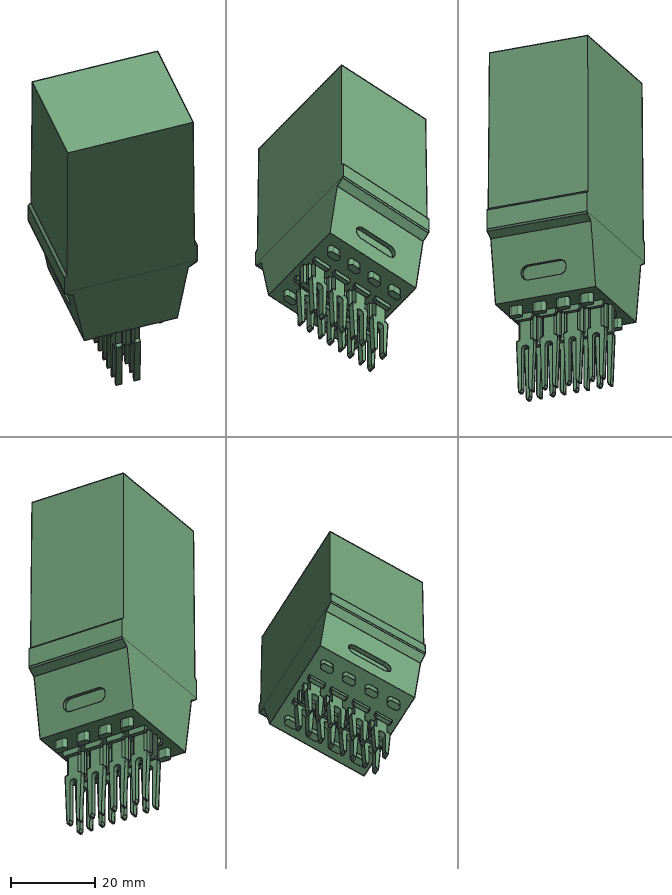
import cadquery as cq

case_width = 26.1
total_height = 83.2
flange_half_depth = 16.765
base_z = 19.6
base_half_depth = 11.7
neck_z = 35.5
neck_half_depth = 14.5
flange_low_z = 37.2
flange_lip_z = 36.7
flange_lip_inset = 0.25
flange_high_z = 42.1
cover_z = 42.8
cover_half_depth = 16.05
top_half_depth = 15.8
top_width = 25.6

recess_length = 11.7
recess_height = 3.7
recess_z = 25.9
recess_depth = 1.1

pin_count = 4
pin_pitch = 6.15
pin_row_offset = 2.29
pin_thickness = 1.46
pin_width = 4.5
tip_width = 3.5
shank_width = 2.75
shoulder_z = 13.5
shoulder_drop = 0.4
fork_gap = 1.8
fork_spring_z = 10.9
taper_start_z = 12.2
tip_bevel_height = 0.75
tip_bevel_width = 0.3

backing_inner_y = 0.7
backing_low_z = 12.5
backing_slope_rise = 0.7
backing_bevel_width = 0.4
backing_bevel_height = 1.0

blade_thickness = 1.25
blade_left = 3.1
blade_right = 1.7

peg_length = 3.3
peg_width = 1.7
peg_offset = 8.3
peg_low_z = 17.1
collar_width = pin_width
collar_outer_y = 4.035
collar_low_z = 18.1
collar_bevel_width = 0.3
collar_bevel_height = 0.4

EMBED = 0.4


def box(x_min, x_max, y_min, y_max, z_min, z_max):
    """Block given by its limits along the three axes."""
    size = (x_max - x_min, y_max - y_min, z_max - z_min)
    return cq.Workplane("XY").box(*size, centered=False).translate((x_min, y_min, z_min))


def make_case():
    plus_y_side = [
        (base_half_depth, base_z),
        (neck_half_depth, neck_z),
        (flange_half_depth - flange_lip_inset, flange_lip_z),
        (flange_half_depth, flange_low_z),
        (flange_half_depth, flange_high_z),
        (cover_half_depth, cover_z),
        (top_half_depth, total_height),
    ]
    minus_y_side = [(-y, z) for y, z in reversed(plus_y_side)]
    body = cq.Workplane("YZ").polyline(plus_y_side + minus_y_side).close().extrude(case_width / 2, both=True)
    draft_outline = [
        (-case_width / 2, base_z),
        (case_width / 2, base_z),
        (case_width / 2, flange_low_z),
        (top_width / 2, total_height),
        (-top_width / 2, total_height),
        (-case_width / 2, flange_low_z),
    ]
    draft = cq.Workplane("XZ").polyline(draft_outline).close().extrude(flange_half_depth, both=True)
    return body.intersect(draft)


def make_recess():
    run = neck_half_depth - base_half_depth
    rise = neck_z - base_z
    face_y = base_half_depth + run / rise * (recess_z - base_z)
    sloping_face = cq.Plane(origin=(0, -face_y, recess_z), xDir=(1, 0, 0), normal=(0, -rise, -run))
    return (
        cq.Workplane(sloping_face)
        .slot2D(recess_length, recess_height)
        .extrude(recess_depth, both=True)
    )


def make_pin():
    half_gap = fork_gap / 2
    tip_inner = half_gap + tip_bevel_width
    return (
        cq.Workplane("XZ", origin=(0, -pin_row_offset, 0))
        .moveTo(-shank_width / 2, base_z + EMBED)
        .lineTo(-shank_width / 2, shoulder_z)
        .lineTo(-pin_width / 2, shoulder_z - shoulder_drop)
        .lineTo(-pin_width / 2, taper_start_z)
        .lineTo(-tip_width / 2, 0)
        .lineTo(-tip_inner, 0)
        .lineTo(-half_gap, tip_bevel_height)
        .lineTo(-half_gap, fork_spring_z)
        .threePointArc((0, fork_spring_z + half_gap), (half_gap, fork_spring_z))
        .lineTo(half_gap, tip_bevel_height)
        .lineTo(tip_inner, 0)
        .lineTo(tip_width / 2, 0)
        .lineTo(pin_width / 2, taper_start_z)
        .lineTo(pin_width / 2, shoulder_z - shoulder_drop)
        .lineTo(shank_width / 2, shoulder_z)
        .lineTo(shank_width / 2, base_z + EMBED)
        .close()
        .extrude(pin_thickness / 2, both=True)
    )


def beveled_tab(width, bevel_width, bevel_height, low_z, y_min, y_max):
    """Plate hanging from the base with both lower corners beveled."""
    half_width = width / 2
    return (
        cq.Workplane("XZ", origin=(0, y_max, 0))
        .moveTo(-half_width, base_z + EMBED)
        .lineTo(-half_width, low_z + bevel_height)
        .lineTo(-half_width + bevel_width, low_z)
        .lineTo(half_width - bevel_width, low_z)
        .lineTo(half_width, low_z + bevel_height)
        .lineTo(half_width, base_z + EMBED)
        .close()
        .extrude(y_max - y_min)
    )


def make_backing():
    outer_y = pin_row_offset - pin_thickness / 2
    tab = beveled_tab(pin_width, backing_bevel_width, backing_bevel_height, backing_low_z,
                      -outer_y, -backing_inner_y)
    below_slope = (
        cq.Workplane("YZ")
        .moveTo(-backing_inner_y, backing_low_z)
        .lineTo(-outer_y, backing_low_z + backing_slope_rise)
        .lineTo(-outer_y, backing_low_z)
        .close()
        .extrude(pin_width / 2, both=True)
    )
    return tab.cut(below_slope)


def make_collar():
    pin_face_y = pin_row_offset + pin_thickness / 2
    return beveled_tab(collar_width, collar_bevel_width, collar_bevel_height, collar_low_z,
                       -collar_outer_y, -pin_face_y)


def make_peg():
    return (
        cq.Workplane("XY", origin=(0, -peg_offset, peg_low_z))
        .slot2D(peg_length, peg_width)
        .extrude(base_z + EMBED - peg_low_z)
    )


def make_contact():
    """Everything hanging below the base at one pin position."""
    front = make_pin().union(make_backing()).union(make_collar()).union(make_peg())
    blade = box(-blade_left, blade_right, -blade_thickness / 2, blade_thickness / 2,
                backing_low_z, base_z + EMBED)
    return front.union(front.mirror("XZ")).union(blade)


recess = make_recess()
result = make_case().cut(recess).cut(recess.mirror("XZ"))
contact = make_contact()
for index in range(pin_count):
    pin_x = (index - (pin_count - 1) / 2) * pin_pitch
    result = result.union(contact.translate((pin_x, 0, 0)))